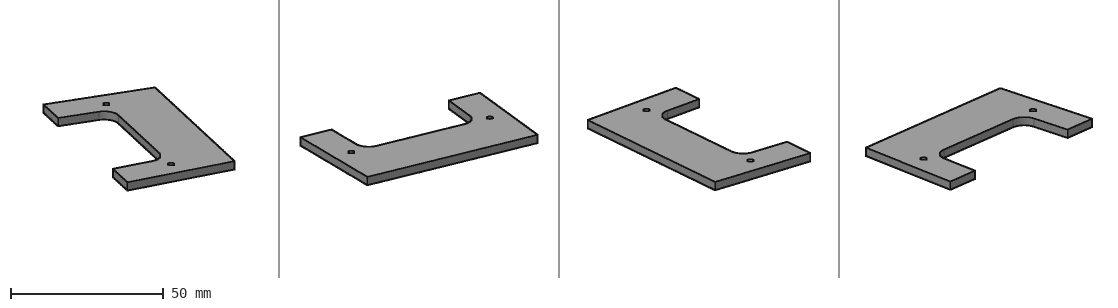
import cadquery as cq

front_width = 68.99
back_width = 65.4
depth = 39.0
thickness = 3.0

leg_width = 12.0
slot_depth = 19.0
slot_corner_radius = 5.0

hole_diameter = 2.1
hole_spacing = 53.2

side_taper = (front_width - back_width) / 2 / depth


def trapezoid(front_half_width, length):
    """Plate of full thickness, narrowing from the front edge at the side taper."""
    back_half_width = front_half_width - side_taper * length
    return (
        cq.Workplane("XY")
        .polyline([
            (-front_half_width, 0),
            (front_half_width, 0),
            (back_half_width, length),
            (-back_half_width, length),
        ])
        .close()
        .extrude(thickness)
    )


def slot():
    """Tapered cutter with its two inner corners rounded."""
    cutter = trapezoid(front_width / 2 - leg_width, slot_depth)
    return cutter.edges("|Z and >Y").fillet(slot_corner_radius)


def holes():
    """Cutters for the two through holes."""
    half_spacing = hole_spacing / 2
    return (
        cq.Workplane("XY")
        .pushPoints([(-half_spacing, slot_depth), (half_spacing, slot_depth)])
        .circle(hole_diameter / 2)
        .extrude(thickness)
    )


result = trapezoid(front_width / 2, depth).cut(slot()).cut(holes())